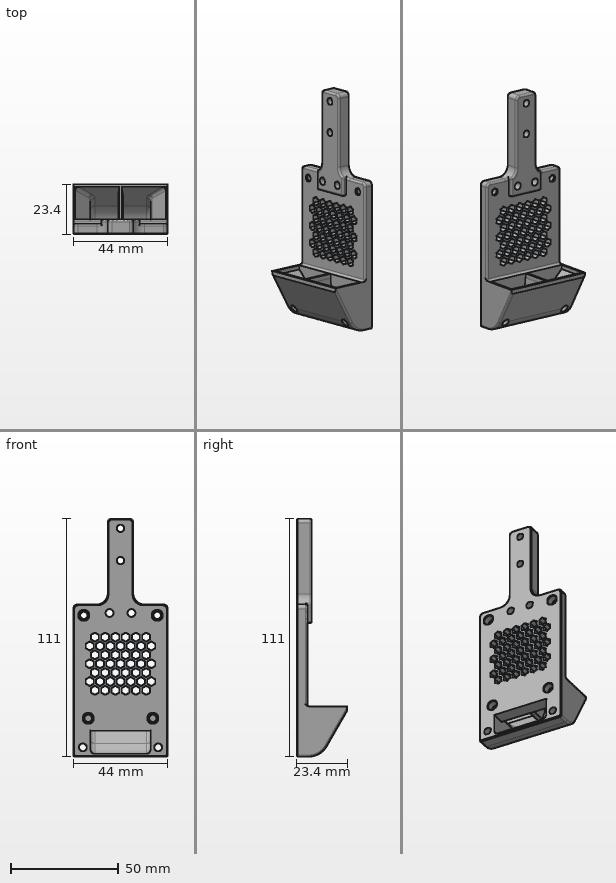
import cadquery as cq
import math

total_height = 111.0
plate_width = 44.0
plate_height = 71.0
plate_thickness = 5.0
handle_width = 12.0
handle_thickness = 7.0
shoulder_radius = 5.0
corner_radius = 2.0
front_chamfer = 0.5
back_round = 1.0

pad_width = 18.0
pad_bottom = 62.3
pad_start = 2.2

hopper_depth = 23.4
hopper_height = 23.5
hopper_lip = 2.0
hopper_slope = 30.0
hopper_bend_radius = 10.0
hopper_edge_round = 1.0
rim_foot_radius = 1.0
rim_wall = 1.0
back_rim_wall = 1.3
front_wall = 7.0
floor_thickness = 1.4

outlet_width = 28.0
outlet_height = 12.2
cavity_round = 2.0
knee_radius = 2.0
flare_angle = 45.0

rib_top_width = 1.0
rib_bottom_width = 2.3
rib_bottom = 15.3

screw_diameter = 3.5
handle_hole_diameter = 3.3
handle_hole_heights = (91.5, 106.5)
upper_screw_spacing = 10.2
upper_screw_height = 67.0
lower_screw_spacing = 35.1
lower_screw_height = 4.4

insert_diameter = 4.7
insert_depth = 4.0
insert_chamfer = 0.28
pilot_diameter = 3.3
upper_insert_spacing = 34.2
upper_insert_height = 65.9
lower_insert_spacing = 30.1
lower_insert_height = 18.0
lower_pilot_depth = 5.5

hex_flats = 3.5
hex_pitch = 4.8
hex_rows = 7
hex_even_count = 6
hex_odd_count = 7
hex_turn = math.radians(60)
hex_row_pitch = hex_pitch * math.sin(hex_turn)
hex_corner_radius = hex_flats / math.sqrt(3)
vent_height = 43.4

slope_run = math.tan(math.radians(hopper_slope))
half_plate = plate_width / 2
half_rim = half_plate - rim_wall
half_outlet = outlet_width / 2
inner_back = hopper_depth - back_rim_wall
hopper_front = plate_thickness - back_round
lip_bottom = hopper_height - hopper_lip
half_handle = handle_width / 2
cut_length = 2 * hopper_depth
pick_margin = 0.1


def slab(sketch, start, end):
    """Extrude an XZ sketch backwards from y = start to y = end."""
    return sketch.extrude(start - end).translate((0, start, 0))


def paddle(start, end):
    """Plate and handle outline with rounded corners, from y = start to y = end."""
    outline = (
        cq.Workplane("XZ")
        .moveTo(0, 0)
        .lineTo(half_plate, 0)
        .lineTo(half_plate, plate_height - corner_radius)
        .radiusArc((half_plate - corner_radius, plate_height), -corner_radius)
        .lineTo(half_handle + shoulder_radius, plate_height)
        .radiusArc((half_handle, plate_height + shoulder_radius), shoulder_radius)
        .lineTo(half_handle, total_height - corner_radius)
        .radiusArc((half_handle - corner_radius, total_height), -corner_radius)
        .lineTo(0, total_height)
        .close()
    )
    half = slab(outline, start, end)
    return half.union(half.mirror("YZ")).clean()


def plate_and_handle():
    """Chamfered plate with the thicker handle and its pad rounded at the back."""
    plate = paddle(0, plate_thickness)
    plate = plate.edges("|Y and <Z").fillet(hopper_edge_round)
    plate = plate.faces("<Y").chamfer(front_chamfer)
    plate = plate.faces(">Y").edges().fillet(back_round)

    pad_area = cq.Workplane("XY").box(
        pad_width, hopper_depth, total_height - pad_bottom, centered=(True, False, False)
    )
    pad = paddle(pad_start, handle_thickness).intersect(pad_area.translate((0, 0, pad_bottom)))
    below_shoulder = cq.selectors.BoxSelector(
        (-pad_width, 0, 0), (pad_width, hopper_depth, plate_height + corner_radius)
    )
    pad = pad.edges("|Y").edges(below_shoulder).fillet(back_round)
    pad = pad.faces(">Y").edges().fillet(back_round)
    return plate.union(pad)


def hopper_profile(back, bottom, top, front, lip):
    """Side outline: sloped back, bend and flat bottom; `back` is the depth where the slope ends."""
    slope_foot = back - (top - lip - bottom) * slope_run
    turn = math.radians(90 - hopper_slope)
    tangent = hopper_bend_radius * math.tan(turn / 2)
    bend_end = (
        slope_foot + tangent * math.cos(turn),
        bottom + tangent * math.sin(turn),
    )
    outline = cq.Workplane("YZ").moveTo(front, bottom).lineTo(slope_foot - tangent, bottom)
    outline = outline.radiusArc(bend_end, -hopper_bend_radius).lineTo(back, top - lip)
    if lip > 0:
        outline = outline.lineTo(back, top)
    return outline.lineTo(front, top).close()


def hopper_body():
    """Solid hopper block with rounded edges down the slope, bend and bottom."""
    profile = hopper_profile(hopper_depth, 0, hopper_height, hopper_front, hopper_lip)
    body = profile.extrude(half_plate, both=True)
    back_edges = cq.selectors.BoxSelector(
        (-plate_width, hopper_front + pick_margin, -pick_margin),
        (plate_width, hopper_depth + pick_margin, lip_bottom),
    )
    return body.edges("not |X").edges(back_edges).fillet(hopper_edge_round)


def rim_foot():
    """Concave round between the plate back and the rim, wrapping around the rounded plate edges."""
    half_flat = half_plate - back_round
    reach = back_round + rim_foot_radius
    section = (
        cq.Workplane("YZ")
        .moveTo(0, hopper_height)
        .lineTo(reach, hopper_height)
        .radiusArc((back_round, hopper_height + rim_foot_radius), rim_foot_radius)
        .lineTo(0, hopper_height + rim_foot_radius)
        .close()
    )
    outline = section.val()
    foot = cq.Workplane("YZ").add(outline).toPending().extrude(half_flat, both=True)
    corner = cq.Workplane("YZ").add(outline).toPending().revolve(360, (0, 0, 0), (0, 1, 0))
    for side in (-1, 1):
        foot = foot.union(corner.translate((side * half_flat, 0, 0)))
    within_sides = cq.Workplane("XY").box(plate_width, cut_length, total_height)
    return foot.intersect(within_sides).translate((0, hopper_front, 0))


def funnel_sides():
    """Block bounded by the cavity sides: upright outlet, rounded knee and flare up to the lip."""
    flare = math.radians(flare_angle)
    knee_height = lip_bottom - (half_rim - half_outlet) / math.tan(flare)
    knee_tangent = knee_radius * math.tan(flare / 2)
    knee_end = (
        half_outlet + knee_tangent * math.sin(flare),
        knee_height + knee_tangent * math.cos(flare),
    )
    right = (
        cq.Workplane("XZ")
        .moveTo(0, 0)
        .lineTo(half_outlet, 0)
        .lineTo(half_outlet, knee_height - knee_tangent)
        .radiusArc(knee_end, knee_radius)
        .lineTo(half_rim, lip_bottom)
        .lineTo(0, lip_bottom)
        .close()
    )
    half = slab(right, 0, hopper_depth)
    return half.union(half.mirror("YZ")).clean()


def hopper_cavity():
    """Space inside the hopper with its rounded valleys, straight lip and outlet."""
    profile = hopper_profile(inner_back, floor_thickness, lip_bottom, 0, 0)
    funnel = profile.extrude(half_rim, both=True).intersect(funnel_sides())
    valleys = cq.selectors.BoxSelector(
        (-plate_width, pick_margin, 0), (plate_width, hopper_depth, lip_bottom - pick_margin)
    )
    funnel = funnel.edges(valleys).edges("not |X").fillet(cavity_round)

    wall_over_outlet = cq.Workplane("XY").box(
        plate_width, front_wall, total_height, centered=(True, False, False)
    )
    funnel = funnel.cut(wall_over_outlet.translate((0, 0, outlet_height)))
    lip_opening = slab(
        cq.Workplane("XZ").center(0, hopper_height - hopper_lip / 2).rect(2 * half_rim, hopper_lip),
        front_wall,
        inner_back,
    )
    return funnel.union(lip_opening)


def hopper_rib():
    """Middle rib, thicker towards its lower edge and rooted in the hopper walls."""
    rib_plan = (
        cq.Workplane("XZ")
        .moveTo(-rib_bottom_width / 2, rib_bottom)
        .lineTo(rib_bottom_width / 2, rib_bottom)
        .lineTo(rib_top_width / 2, lip_bottom)
        .lineTo(rib_top_width / 2, hopper_height)
        .lineTo(-rib_top_width / 2, hopper_height)
        .lineTo(-rib_top_width / 2, lip_bottom)
        .close()
    )
    block = slab(rib_plan, front_wall - rim_wall, hopper_depth)
    inside = hopper_profile(hopper_depth - back_rim_wall / 2, 0, hopper_height, 0, hopper_lip)
    return block.intersect(inside.extrude(rib_bottom_width, both=True))


def drill(diameter, x, z, depth=cut_length):
    """Cylinder along +Y entering the front face at (x, z)."""
    return slab(cq.Workplane("XZ").center(x, z).circle(diameter / 2), 0, depth)


def insert_hole(x, z, pilot_depth):
    """Insert bore with a small mouth chamfer and a pilot hole beyond it."""
    mouth = cq.Workplane("XZ").center(x, z).circle(insert_diameter / 2 + insert_chamfer)
    mouth = mouth.workplane(offset=-insert_chamfer).circle(insert_diameter / 2).loft()
    bore = drill(insert_diameter, x, z, insert_depth)
    return bore.union(mouth).union(drill(pilot_diameter, x, z, pilot_depth))


def vent_grid():
    """Rows of upright hexagons, alternately six and seven to a row."""
    grid = cq.Workplane("XZ")
    for row in range(hex_rows):
        count = hex_odd_count if row % 2 else hex_even_count
        z = vent_height + (row - (hex_rows - 1) / 2) * hex_row_pitch
        for column in range(count):
            x = (column - (count - 1) / 2) * hex_pitch
            corners = [
                (
                    x + hex_corner_radius * math.sin(hex_turn * corner),
                    z + hex_corner_radius * math.cos(hex_turn * corner),
                )
                for corner in range(6)
            ]
            grid = grid.polyline(corners).close()
    return slab(grid, 0, plate_thickness)


body = plate_and_handle().union(hopper_body()).union(rim_foot()).clean()
body = body.cut(hopper_cavity()).union(hopper_rib())
body = body.cut(vent_grid())

for z in handle_hole_heights:
    body = body.cut(drill(handle_hole_diameter, 0, z))
for side in (-1, 1):
    body = body.cut(drill(screw_diameter, side * upper_screw_spacing / 2, upper_screw_height))
    body = body.cut(drill(screw_diameter, side * lower_screw_spacing / 2, lower_screw_height))
    body = body.cut(insert_hole(side * upper_insert_spacing / 2, upper_insert_height, plate_thickness))
    body = body.cut(insert_hole(side * lower_insert_spacing / 2, lower_insert_height, lower_pilot_depth))

result = body